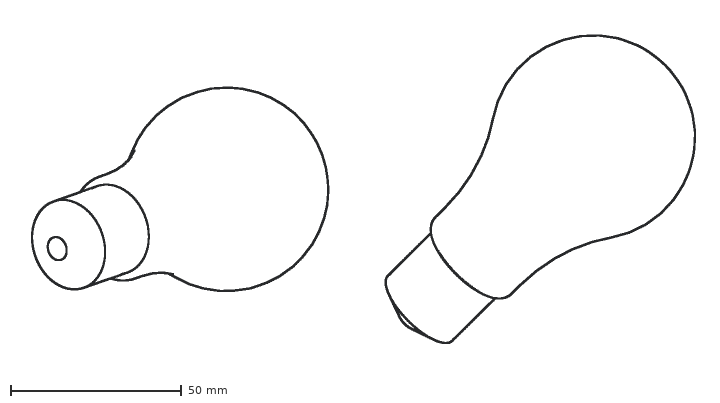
import cadquery as cq
import math

total_length = 112.8

globe_radius = 60.0 / 2
collar_radius = 31.8 / 2
neck_depth = 49.3
collar_length = 4.2

cap_radius = 27.0 / 2
tip_length = 5.5
contact_radius = 3.5

rim_radius = collar_radius - cap_radius

collar_depth = neck_depth + collar_length
cap_start_depth = collar_depth + rim_radius
contact_depth = total_length - globe_radius
cap_end_depth = contact_depth - tip_length

neck_arc_radius = (neck_depth**2 + collar_radius**2 - globe_radius**2) / (
    2 * (globe_radius - collar_radius)
)
neck_centre_x = collar_radius + neck_arc_radius
neck_centre_y = -neck_depth
neck_arc_angle = math.atan2(neck_depth, neck_centre_x)


def point_on_arc(centre_x, centre_y, radius, angle):
    """Point of a circle in the XY plane; the angle is counted from +X toward +Y."""
    return (centre_x + radius * math.cos(angle), centre_y + radius * math.sin(angle))


def revolve_about_axis(profile):
    """Turn a closed half profile in the XY plane once around the Y axis."""
    return profile.revolve(360, (0, 0, 0), (0, 1, 0))


def make_bulb():
    globe_side = (globe_radius, 0)
    globe_end = point_on_arc(0, 0, globe_radius, -neck_arc_angle)
    neck_middle = point_on_arc(
        neck_centre_x, neck_centre_y, neck_arc_radius, math.pi - neck_arc_angle / 2
    )
    rim_centre_x = collar_radius - rim_radius
    rim_middle = point_on_arc(rim_centre_x, -collar_depth, rim_radius, -math.pi / 4)

    profile = (
        cq.Workplane("XY")
        .moveTo(0, globe_radius)
        .threePointArc(globe_side, globe_end)
        .threePointArc(neck_middle, (collar_radius, -neck_depth))
        .lineTo(collar_radius, -collar_depth)
        .threePointArc(rim_middle, (cap_radius, -cap_start_depth))
        .lineTo(0, -cap_start_depth)
        .close()
    )
    return revolve_about_axis(profile)


def make_cap():
    profile = (
        cq.Workplane("XY")
        .moveTo(0, -cap_start_depth)
        .lineTo(cap_radius, -cap_start_depth)
        .lineTo(cap_radius, -cap_end_depth)
        .lineTo(0, -cap_end_depth)
        .close()
    )
    return revolve_about_axis(profile)


def make_tip():
    profile = (
        cq.Workplane("XY")
        .moveTo(0, -cap_end_depth)
        .lineTo(cap_radius, -cap_end_depth)
        .lineTo(contact_radius, -contact_depth)
        .lineTo(0, -contact_depth)
        .close()
    )
    return revolve_about_axis(profile)


bulb = make_bulb()
cap = make_cap()
tip = make_tip()

result = cq.Compound.makeCompound([bulb.val(), cap.val(), tip.val()])